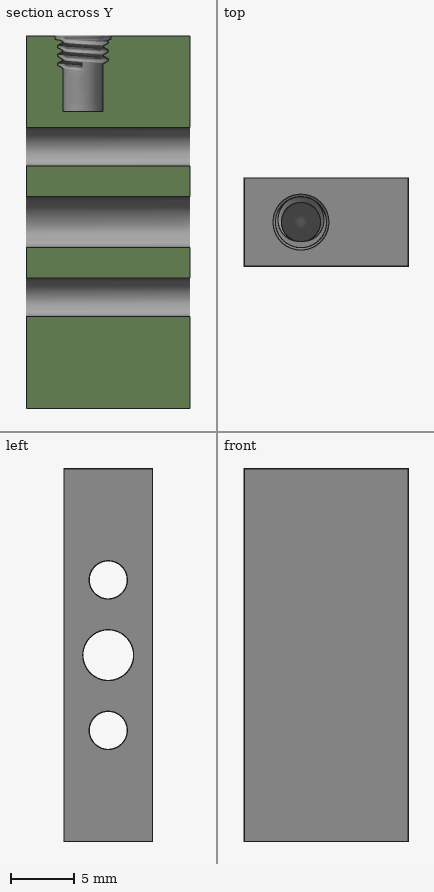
import cadquery as cq
import math

LENGTH_X = 13.0
WIDTH_Y = 7.0
HEIGHT_Z = 29.5

CENTRE_HOLE_DIAMETER = 4.0
SIDE_HOLE_DIAMETER = 3.0
SIDE_HOLE_SPACING = 5.95

TAP_EDGE_DISTANCE = 4.5
TAP_DEPTH = 6.0
BORE_DIAMETER = 3.1
RECESS_DIAMETER = 4.42
RECESS_DEPTH = 0.34
RECESS_WALL_DEPTH = 0.26
LEDGE_DIAMETER = 4.04

MAJOR_DIAMETER = 4.0
PITCH = 0.7
TURNS_BELOW_LEDGE = 3
TURNS_ABOVE_LEDGE = 1
CREST_WIDTH = 0.05
FLANK_ANGLE = 30.0
START_ANGLE = 90.0
GROOVE_OVERLAP = 0.02

TOP_Z = HEIGHT_Z / 2
TAP_X = TAP_EDGE_DISTANCE - LENGTH_X / 2
LEDGE_Z = TOP_Z - RECESS_DEPTH
THREAD_TURNS = TURNS_BELOW_LEDGE + TURNS_ABOVE_LEDGE


def cross_hole(diameter, z):
    """Cylinder along X through the whole block, centred at height z."""
    return (
        cq.Workplane("YZ", origin=(-LENGTH_X / 2, 0, 0))
        .center(0, z)
        .circle(diameter / 2)
        .extrude(LENGTH_X)
    )


def top_hole(diameter, depth):
    """Vertical cylinder sunk from the top face on the tapped hole's axis."""
    return cq.Workplane("XY", origin=(TAP_X, 0, TOP_Z - depth)).circle(diameter / 2).extrude(depth)


def recess():
    """Shallow round recess with a short cone between its wall and its flat ledge."""
    rim_radius = RECESS_DIAMETER / 2
    wall = cq.Workplane("XY", origin=(TAP_X, 0, TOP_Z)).circle(rim_radius).extrude(-RECESS_WALL_DEPTH)
    cone_height = RECESS_DEPTH - RECESS_WALL_DEPTH
    cone_start = wall.faces("<Z").workplane().circle(rim_radius)
    return cone_start.workplane(offset=cone_height).circle(LEDGE_DIAMETER / 2).loft()


def thread_groove():
    """Helical groove whose root reaches the recess ledge on the +Y side of the bore."""
    slope = math.tan(math.radians(FLANK_ANGLE))
    bore_radius = BORE_DIAMETER / 2
    root_radius = MAJOR_DIAMETER / 2
    inner_radius = bore_radius - GROOVE_OVERLAP
    inner_half = (PITCH - CREST_WIDTH) / 2 + GROOVE_OVERLAP * slope
    root_half = inner_half - (root_radius - inner_radius) * slope
    outline = [
        (inner_radius, -inner_half),
        (root_radius, -root_half),
        (root_radius, root_half),
        (inner_radius, inner_half),
    ]
    path = cq.Wire.makeHelix(PITCH, PITCH * THREAD_TURNS, bore_radius)
    groove = cq.Workplane("XZ").polyline(outline).close().sweep(cq.Workplane(obj=path), isFrenet=True)
    start_z = LEDGE_Z - PITCH * TURNS_BELOW_LEDGE
    return groove.rotate((0, 0, 0), (0, 0, 1), START_ANGLE).translate((TAP_X, 0, start_z))


result = cq.Workplane("XY").box(LENGTH_X, WIDTH_Y, HEIGHT_Z)
result = result.cut(cross_hole(CENTRE_HOLE_DIAMETER, 0))
for side in (-1, 1):
    result = result.cut(cross_hole(SIDE_HOLE_DIAMETER, side * SIDE_HOLE_SPACING))
result = result.cut(top_hole(BORE_DIAMETER, TAP_DEPTH))
result = result.cut(recess())
result = result.cut(thread_groove())